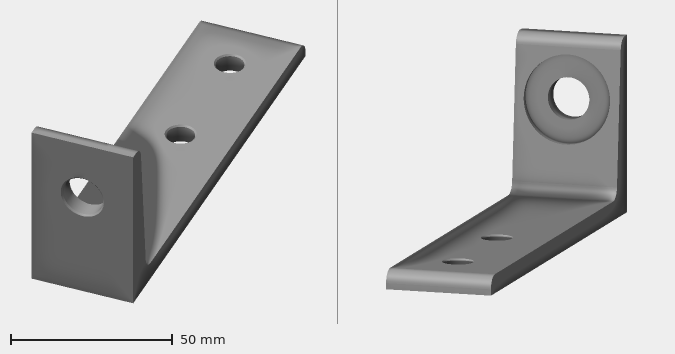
import cadquery as cq

length = 140.0
width = 34.0
height = 56.0
base_thickness = 6.0

leg_top_thickness = 6.0
leg_root_thickness = 10.5
corner_radius = 4.0

base_hole_diameter = 9.0
base_hole_end_distance = 20.0
base_hole_spacing = 40.0

leg_hole_diameter = 13.5
leg_hole_top_distance = 20.0
spotface_diameter = 28.0
spotface_floor_thickness = 6.0

hole_chamfer = 0.5

front_y = -length / 2
back_y = length / 2


def make_body():
    """L-shaped profile extruded across the width, with rounded edges."""
    outline = [
        (front_y, 0),
        (back_y, 0),
        (back_y, base_thickness),
        (front_y + leg_root_thickness, base_thickness),
        (front_y + leg_top_thickness, height),
        (front_y, height),
    ]
    rounded_corners = outline[2:5]
    body = cq.Workplane("YZ").polyline(outline).close().extrude(width / 2, both=True)
    for y, z in rounded_corners:
        corner_edge = cq.selectors.NearestToPointSelector((0, y, z))
        body = body.edges("|X").edges(corner_edge).fillet(corner_radius)
    return body


def chamfered_hole_cutter(diameter, depth):
    """Hole cutter along +Z from the origin, widened by a 45 degree chamfer at its start."""
    radius = diameter / 2
    profile = [
        (0, 0),
        (radius + hole_chamfer, 0),
        (radius, hole_chamfer),
        (radius, depth),
        (0, depth),
    ]
    return cq.Workplane("XZ").polyline(profile).close().revolve(360, (0, 0), (0, 1))


def make_base_holes():
    """Two through holes in line along the base, chamfered at the top face."""
    first_y = back_y - base_hole_end_distance
    centers = [(0, first_y), (0, first_y - base_hole_spacing)]
    cutter = chamfered_hole_cutter(base_hole_diameter, base_thickness)
    cutter = cutter.rotate((0, 0, 0), (1, 0, 0), 180).translate((0, 0, base_thickness))
    return cq.Workplane("XY").pushPoints(centers).eachpoint(
        lambda location: cutter.val().moved(location), combine=False
    )


def make_leg_hole():
    """Through hole chamfered at the outer face, with a flat spotface on the sloping side."""
    hole_z = height - leg_hole_top_distance
    cutter = chamfered_hole_cutter(leg_hole_diameter, leg_root_thickness)
    spotface = (
        cq.Workplane("XY", origin=(0, 0, spotface_floor_thickness))
        .circle(spotface_diameter / 2)
        .extrude(leg_root_thickness - spotface_floor_thickness)
    )
    return cutter.union(spotface).rotate((0, 0, 0), (1, 0, 0), -90).translate((0, front_y, hole_z))


result = make_body().cut(make_base_holes()).cut(make_leg_hole())